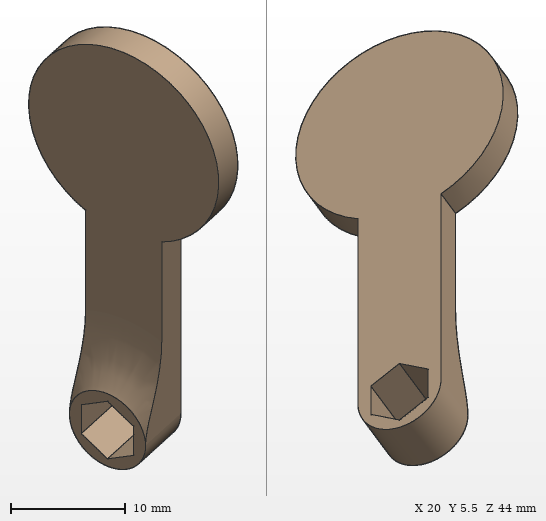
import cadquery as cq
import math

disc_radius = 10.0
arm_width = 8.0
plate_thickness = 3.0
boss_height = 5.5
flare_radius = 10.0
hex_across_flats = 5.5
overall_length = 44.0

hub_radius = arm_width / 2
disc_center_z = overall_length - disc_radius - hub_radius
hex_corner_diameter = hex_across_flats / math.cos(math.radians(30))


def cylinder(radius, height, center_z):
    """Cylinder rising from the back face toward -Y."""
    return cq.Workplane("XZ").center(0, center_z).circle(radius).extrude(height)


def arm(height):
    """Straight bar from the hub to the disc with a round end at the hub."""
    bar = (
        cq.Workplane("XZ")
        .center(0, disc_center_z / 2)
        .rect(arm_width, disc_center_z)
        .extrude(height)
    )
    return bar.union(cylinder(hub_radius, height, 0))


def flared_boss():
    """Boss whose concave side sweeps out tangent to the plate, trimmed to the arm."""
    arc_center_y = -(plate_thickness + flare_radius)

    def flare_reach(y):
        return math.sqrt(flare_radius**2 - (y - arc_center_y) ** 2)

    foot_radius = hub_radius + flare_reach(-boss_height)
    middle_y = -(plate_thickness + boss_height) / 2
    body = (
        cq.Workplane("XY")
        .lineTo(foot_radius, 0)
        .lineTo(foot_radius, -plate_thickness)
        .threePointArc(
            (foot_radius - flare_reach(middle_y), middle_y),
            (hub_radius, -boss_height),
        )
        .lineTo(0, -boss_height)
        .close()
        .revolve(360, (0, 0), (0, 1))
    )
    return body.intersect(arm(boss_height))


hex_hole = (
    cq.Workplane("XZ")
    .polygon(6, hex_corner_diameter)
    .extrude(boss_height)
    .rotate((0, 0, 0), (0, 1, 0), 90)
)

plate = arm(plate_thickness).union(cylinder(disc_radius, plate_thickness, disc_center_z))
result = plate.union(flared_boss()).cut(hex_hole)